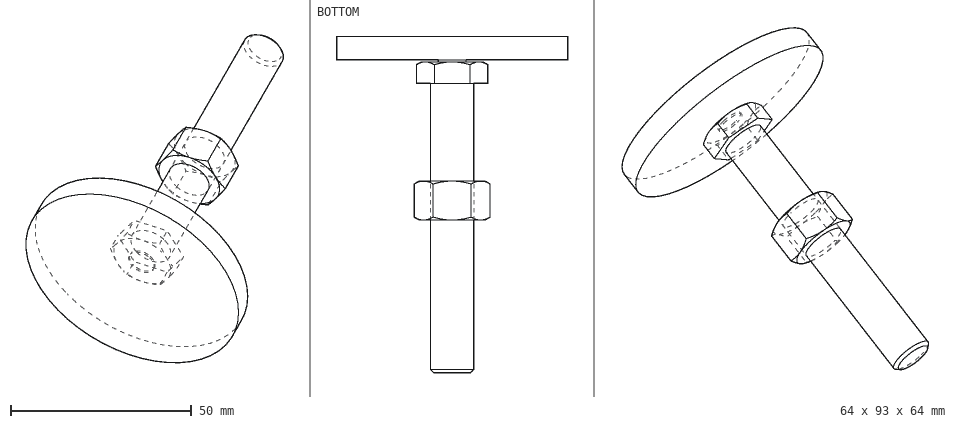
import cadquery as cq
import math

total_length = 93.0
plate_diameter = 64.0
plate_thickness = 6.5

rod_diameter = 12.0
tip_chamfer = 0.9
neck_diameter = 7.7
neck_length = 0.6

head_across_flats = 17.1
head_height = 5.95
nut_across_flats = 18.2
nut_height = 10.8
nut_start = 40.0
corner_chamfer_angle = 30.0

head_start = plate_thickness + neck_length
head_end = head_start + head_height


def cylinder(diameter, start, length):
    """Cylinder along +Y from Y = start."""
    return (
        cq.Workplane("XZ", origin=(0, start, 0))
        .circle(diameter / 2)
        .extrude(-length)
    )


def hexagon(across_flats, start, height, chamfer_far_end):
    """Hexagonal prism along +Y, corners on X, with conically chamfered ends."""
    flat_radius = across_flats / 2
    corner_radius = flat_radius / math.cos(math.radians(30))
    chamfer_height = (corner_radius - flat_radius) * math.tan(math.radians(corner_chamfer_angle))
    end = start + height
    prism = (
        cq.Workplane("XZ", origin=(0, start, 0))
        .polygon(6, 2 * corner_radius)
        .extrude(-height)
    )
    profile = (
        cq.Workplane("XY")
        .moveTo(0, start)
        .lineTo(flat_radius, start)
        .lineTo(corner_radius, start + chamfer_height)
    )
    if chamfer_far_end:
        profile = profile.lineTo(corner_radius, end - chamfer_height).lineTo(flat_radius, end)
    else:
        profile = profile.lineTo(corner_radius, end)
    envelope = profile.lineTo(0, end).close().revolve(360, (0, 0, 0), (0, 1, 0))
    return prism.intersect(envelope)


def make_plate():
    """Round foot plate."""
    return cylinder(plate_diameter, 0, plate_thickness)


def make_stud():
    """Rod with a hexagonal head and a short neck resting on the plate."""
    neck = cylinder(neck_diameter, plate_thickness, neck_length)
    head = hexagon(head_across_flats, head_start, head_height, chamfer_far_end=False)
    rod = cylinder(rod_diameter, head_end, total_length - head_end)
    rod = rod.faces(">Y").chamfer(tip_chamfer)
    return neck.union(head).union(rod)


def make_nut():
    """Hexagonal lock nut bored to fit the rod."""
    blank = hexagon(nut_across_flats, nut_start, nut_height, chamfer_far_end=True)
    return blank.cut(cylinder(rod_diameter, nut_start, nut_height))


plate = make_plate()
stud = make_stud()
nut = make_nut()

result = cq.Compound.makeCompound([plate.val(), stud.val(), nut.val()])